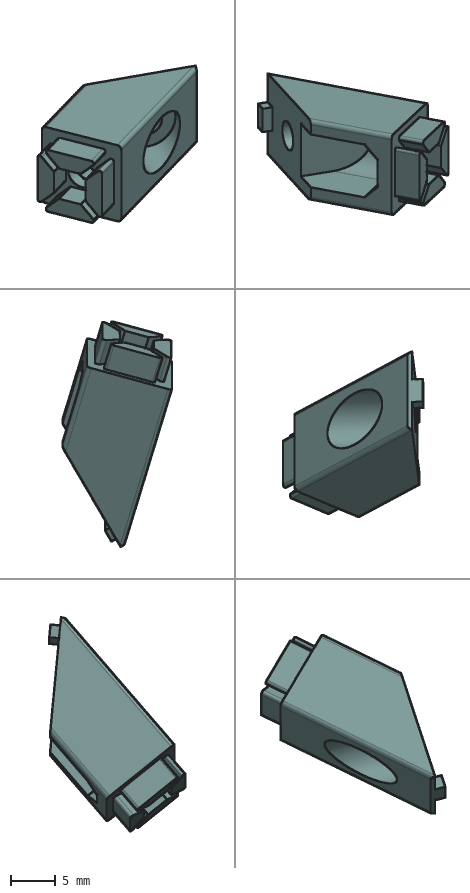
import cadquery as cq
import math

body_width = 10.0
half_width = body_width / 2
corner_radius = 0.5
plug_length = 3.0
short_side_length = 10.0
overall_length = 23.5

slope_offset = plug_length + short_side_length + half_width

tab_thickness = 1.2
tab_length = 1.5
tab_height = 2.91

tip_sum = 2 * overall_length - slope_offset - math.sqrt(2) * tab_thickness
tip_x = (tip_sum - slope_offset) / 2
tip_y = tip_x + slope_offset

plug_outer = 4.07
plug_inner = 2.0
inner_half_width = 1.39
outer_half_width = 3.0
segment_radius = 0.3

bore_radius = 1.7
cavity_radius = 3.3
cone_start = 4.75
cone_end = 6.37
cavity_floor_sum = 12.5
cross_hole_sum = 18.3
seat_depth = 2.0


def make_body():
    prism = (
        cq.Workplane("XY")
        .box(body_width, overall_length, body_width, centered=(True, False, True))
        .edges("|Y")
        .fillet(corner_radius)
    )
    side_outline = (
        cq.Workplane("XY")
        .moveTo(-half_width, plug_length)
        .lineTo(half_width, plug_length)
        .lineTo(half_width, tip_sum - half_width)
        .lineTo(tip_x, tip_y)
        .lineTo(-half_width, slope_offset - half_width)
        .close()
        .extrude(half_width, both=True)
    )
    return prism.intersect(side_outline)


def make_plug_segment(half_outline):
    mirrored = [(-x, z) for x, z in reversed(half_outline)]
    segment = cq.Workplane("XZ").polyline(half_outline + mirrored).close().extrude(-plug_length)
    return segment.faces(">Z").edges("|Y").fillet(segment_radius)


def make_tab():
    along_slope = tab_length / math.sqrt(2)
    outward = tab_thickness / math.sqrt(2)
    return (
        cq.Workplane("XY")
        .polyline([
            (tip_x, tip_y),
            (tip_x - outward, tip_y + outward),
            (tip_x - outward - along_slope, tip_y + outward - along_slope),
            (tip_x - along_slope, tip_y - along_slope),
        ])
        .close()
        .extrude(tab_height / 2, both=True)
    )


def make_cavity():
    turned = (
        cq.Workplane("XY")
        .polyline([
            (0, 0),
            (bore_radius, 0),
            (bore_radius, cone_start),
            (cavity_radius, cone_end),
            (cavity_radius, overall_length),
            (0, overall_length),
        ])
        .close()
        .revolve(360, (0, 0), (0, 1))
    )
    window = (
        cq.Workplane("YZ")
        .polyline([
            (cone_start, -bore_radius),
            (cone_end, -cavity_radius),
            (overall_length, -cavity_radius),
            (overall_length, cavity_radius),
            (cone_end, cavity_radius),
            (cone_start, bore_radius),
        ])
        .close()
        .extrude(-body_width)
    )
    below_floor = (
        cq.Workplane("XY")
        .polyline([
            (-body_width, 0),
            (cavity_floor_sum, 0),
            (-body_width, cavity_floor_sum + body_width),
        ])
        .close()
        .extrude(half_width, both=True)
    )
    return turned.union(window).intersect(below_floor)


def make_cross_hole():
    hole_x = (cross_hole_sum - slope_offset) / 2
    center = cq.Vector(hole_x, hole_x + slope_offset, 0)
    inward = cq.Vector(1, -1, 0).normalized()
    seat = center + inward * seat_depth
    hole = cq.Solid.makeCylinder(bore_radius, seat_depth, center, inward)
    counterbore = cq.Solid.makeCylinder(cavity_radius, body_width, seat, inward)
    return cq.Workplane(hole.fuse(counterbore))


upright_flank_outline = [
    (inner_half_width, plug_inner),
    (outer_half_width, plug_inner + outer_half_width - inner_half_width),
    (outer_half_width, plug_outer),
]
plain_outline = [
    (inner_half_width, plug_inner),
    (inner_half_width + plug_outer - plug_inner, plug_outer),
]

result = make_body().union(make_tab())
for outline, angles in ((upright_flank_outline, (0, 180)), (plain_outline, (90, 270))):
    plug_segment = make_plug_segment(outline)
    for angle in angles:
        result = result.union(plug_segment.rotate((0, 0, 0), (0, 1, 0), angle))
result = result.cut(make_cavity()).cut(make_cross_hole())